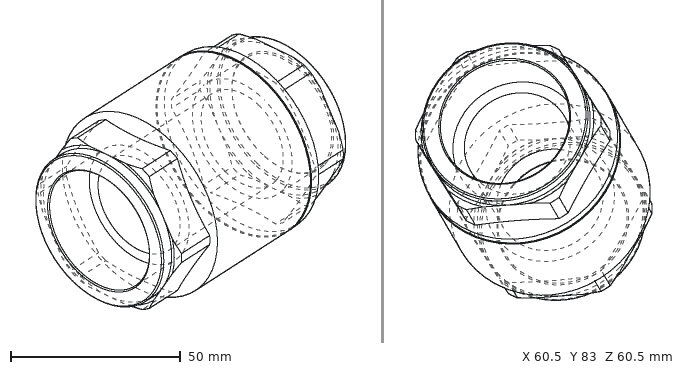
import cadquery as cq
import math

length = 83.0
body_diameter = 60.5

body_length = 45.8
shoulder_angle = 20.0
cap_length = 3.5
cap_end_diameter = 60.2
seam_width = 0.25
seam_depth = 0.25

across_flats = 50.0
corner_diameter = 55.95
hex_end_setback = 4.0
hex_face_diameter = 52.0
hex_chamfer_length = 1.1

collar_diameter = 50.0
collar_chamfer = 0.5

bore_diameter = 32.0
socket_diameter = 38.9
socket_depth = 18.3
socket_chamfer = 0.4

half_length = length / 2
half_body = body_length / 2


def cylinder(diameter, start, end):
    """Cylinder on the Y axis between two Y positions."""
    return cq.Workplane("XZ", origin=(0, end, 0)).circle(diameter / 2).extrude(end - start)


def revolve_profile(points):
    """Solid of revolution about Y from (radius, y) points."""
    return cq.Workplane("XY").polyline(points).close().revolve(360, (0, 0), (0, 1))


def make_body():
    """Cylindrical body with conical shoulders running inward to the hexagon flats."""
    radius = body_diameter / 2
    cap_end_radius = cap_end_diameter / 2
    inner_radius = across_flats / 2
    shoulder_slope = math.tan(math.radians(shoulder_angle))
    sleeve_cone_end = half_body + (radius - inner_radius) * shoulder_slope
    cap_cone_end = half_body + (cap_end_radius - inner_radius) * shoulder_slope
    seam_y = half_body - cap_length
    body = revolve_profile([
        (0, -sleeve_cone_end), (inner_radius, -sleeve_cone_end), (radius, -half_body), (radius, seam_y),
        (cap_end_radius, half_body), (inner_radius, cap_cone_end), (0, cap_cone_end),
    ])
    seam_start = seam_y - seam_width / 2
    seam_end = seam_y + seam_width / 2
    core = cylinder(body_diameter - 2 * seam_depth, seam_start, seam_end)
    return body.cut(cylinder(body_diameter, seam_start, seam_end).cut(core))


def make_hexagons():
    """Hexagon bar trimmed by a turned envelope to shape its corners and ends."""
    hex_end = half_length - hex_end_setback
    chamfer_start = hex_end - hex_chamfer_length
    face_radius = hex_face_diameter / 2
    corner_radius = corner_diameter / 2
    envelope = revolve_profile([
        (0, -hex_end), (face_radius, -hex_end), (corner_radius, -chamfer_start),
        (corner_radius, chamfer_start), (face_radius, hex_end), (0, hex_end),
    ])
    across_corners = across_flats / math.cos(math.pi / 6)
    bar = cq.Workplane("XZ").polygon(6, across_corners).extrude(hex_end, both=True)
    return bar.intersect(envelope)


def make_collars():
    """Full-length round core whose ends project as chamfered collars."""
    collars = cylinder(collar_diameter, -half_length, half_length)
    return collars.faces("<Y or >Y").chamfer(collar_chamfer)


def make_passage():
    """Through bore with a socket and a chamfered mouth at each end."""
    bore_radius = bore_diameter / 2
    socket_radius = socket_diameter / 2
    mouth_radius = socket_radius + socket_chamfer
    socket_floor = half_length - socket_depth
    mouth_start = half_length - socket_chamfer
    half_profile = [
        (0, half_length), (mouth_radius, half_length), (socket_radius, mouth_start),
        (socket_radius, socket_floor), (bore_radius, socket_floor),
    ]
    mirrored = [(radius, -y) for radius, y in reversed(half_profile)]
    return revolve_profile(half_profile + mirrored)


result = make_body().union(make_hexagons()).union(make_collars()).cut(make_passage())